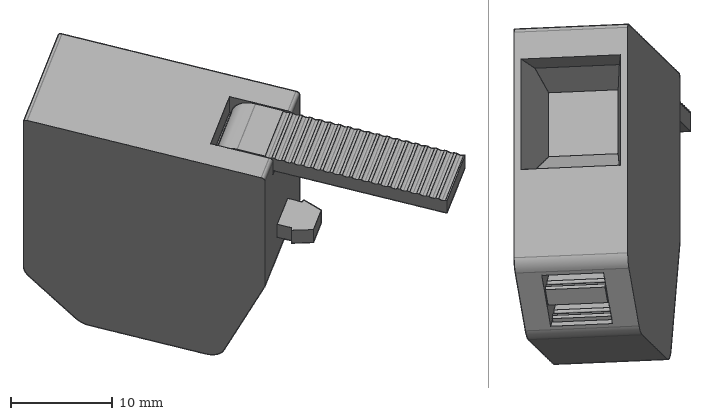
import cadquery as cq
import math

TOTAL_LENGTH = 43.0
BODY_LENGTH = 25.03
BODY_WIDTH = 11.5
BODY_HEIGHT = 30.0

CHAMFER_LEG = 6.0
SLOPE_HEIGHT = 13.0
SLOPE_ANGLE = 20.0
BOTTOM_RADIUS = 2.0
TOP_RADIUS = 0.4

WINDOW_TOP_GAP = 3.15
WINDOW_HEIGHT = 11.15
WINDOW_WIDTH = 10.0
WINDOW_DEPTH = 6.0
WINDOW_KNEE_DEPTH = WINDOW_DEPTH / 2
WINDOW_KNEE_TOP = 0.35
WINDOW_KNEE_BOTTOM = 0.5
FLOOR_TOP_INSET = 2.25
FLOOR_BOTTOM_INSET = 2.45
FLOOR_SIDE_INSET = 1.5

STRAP_WIDTH = 6.0
STRAP_THICKNESS = 1.98
BEND_RADIUS = 2.5
STRAP_BACK = 18.8
CLEARANCE = 0.108
EXPOSED_TEETH = 18
TOOTH_PITCH = (TOTAL_LENGTH - BODY_LENGTH) / EXPOSED_TEETH
GROOVE_RADIUS = TOOTH_PITCH / 2
SLOT_WIDTH = STRAP_WIDTH + 2 * CLEARANCE
SLOT_BACK = STRAP_BACK - 2 * CLEARANCE

MOUTH_LENGTH = 6.0
MOUTH_DEPTH = 5.0
STRAP_END_TOP = 1.45
PAWL_SETBACK = 0.75
PAWL_THICKNESS = 0.55
MOUTH_TEETH = 2

PEG_LENGTH = 3.6
PEG_TOP_GAP = 12.0
PEG_HEIGHT = 2.05
PEG_NECK_LENGTH = 1.45
PEG_NECK_WIDTH = 3.45
BARB_STEP = 0.3
BARB_BACK = 0.15
PEG_TIP_WIDTH = 2.6


def extrude_across(outline, width):
    """Close an outline drawn on the middle plane, facing -Y, and extrude it centred on Y."""
    return outline.close().extrude(width, clean=False).translate((0, width / 2, 0))


def cut_groove(strap, plane, along, surface):
    """Cut a round groove, with 45 degree edges, across the face at local height surface."""
    half_width = GROOVE_RADIUS * math.sin(math.pi / 4)
    half_arc = GROOVE_RADIUS * math.sin(math.pi / 8)
    arc_centre = surface + half_width
    bottom = arc_centre - GROOVE_RADIUS
    middle = arc_centre - GROOVE_RADIUS * math.cos(math.pi / 8)
    outline = (
        cq.Workplane(plane)
        .moveTo(along - half_width, arc_centre)
        .lineTo(along - half_width, surface)
        .threePointArc((along - half_arc, middle), (along, bottom))
        .threePointArc((along + half_arc, middle), (along + half_width, surface))
        .lineTo(along + half_width, arc_centre)
    )
    return strap.cut(extrude_across(outline, STRAP_WIDTH), clean=False)


def make_body():
    slope_run = SLOPE_HEIGHT * math.tan(math.radians(SLOPE_ANGLE))
    outline = cq.Workplane("XZ").polyline([
        (0, CHAMFER_LEG),
        (CHAMFER_LEG, 0),
        (BODY_LENGTH - slope_run, 0),
        (BODY_LENGTH, SLOPE_HEIGHT),
        (BODY_LENGTH, BODY_HEIGHT),
        (0, BODY_HEIGHT),
    ])
    body = extrude_across(outline, BODY_WIDTH)
    corner_box = cq.selectors.BoxSelector
    low_left = corner_box((-0.45, -BODY_WIDTH, -0.45), (CHAMFER_LEG + 0.45, BODY_WIDTH, CHAMFER_LEG + 0.45))
    low_right = corner_box((CHAMFER_LEG + 0.45, -BODY_WIDTH, -0.45), (BODY_LENGTH, BODY_WIDTH, 0.45))
    body = body.edges("|Y").edges(low_left + low_right).fillet(BOTTOM_RADIUS)
    return body.faces(">Z").edges("|Y").fillet(TOP_RADIUS)


def make_window():
    top = BODY_HEIGHT - WINDOW_TOP_GAP
    bottom = top - WINDOW_HEIGHT
    profile = cq.Workplane("XZ").polyline([
        (0, top),
        (WINDOW_KNEE_DEPTH, top - WINDOW_KNEE_TOP),
        (WINDOW_DEPTH, top - FLOOR_TOP_INSET),
        (WINDOW_DEPTH, bottom + FLOOR_BOTTOM_INSET),
        (WINDOW_KNEE_DEPTH, bottom + WINDOW_KNEE_BOTTOM),
        (0, bottom),
    ])
    mouth = WINDOW_WIDTH / 2
    floor = mouth - FLOOR_SIDE_INSET
    taper = (
        cq.Workplane("XY")
        .polyline([(0, -mouth), (WINDOW_DEPTH, -floor), (WINDOW_DEPTH, floor), (0, mouth)])
        .close()
        .extrude(BODY_HEIGHT)
    )
    return extrude_across(profile, WINDOW_WIDTH).intersect(taper)


def make_top_slot():
    outline = cq.Workplane("XZ").polyline([
        (SLOT_BACK, BODY_HEIGHT - BEND_RADIUS),
        (TOTAL_LENGTH, BODY_HEIGHT - BEND_RADIUS),
        (TOTAL_LENGTH, BODY_HEIGHT),
        (SLOT_BACK, BODY_HEIGHT),
    ])
    return extrude_across(outline, SLOT_WIDTH)


def make_strap():
    """Strap that rises from the slot floor, bends and runs out flush with the body top."""
    floor = BODY_HEIGHT - BEND_RADIUS
    bend_x = STRAP_BACK + BEND_RADIUS
    inner_radius = BEND_RADIUS - STRAP_THICKNESS
    diagonal = math.sin(math.pi / 4)
    outline = (
        cq.Workplane("XZ")
        .moveTo(STRAP_BACK, floor)
        .threePointArc(
            (bend_x - BEND_RADIUS * diagonal, floor + BEND_RADIUS * diagonal),
            (bend_x, BODY_HEIGHT),
        )
        .lineTo(TOTAL_LENGTH, BODY_HEIGHT)
        .lineTo(TOTAL_LENGTH, BODY_HEIGHT - STRAP_THICKNESS)
        .lineTo(bend_x, BODY_HEIGHT - STRAP_THICKNESS)
        .threePointArc(
            (bend_x - inner_radius * diagonal, floor + inner_radius * diagonal),
            (bend_x - inner_radius, floor),
        )
    )
    strap = extrude_across(outline, STRAP_WIDTH)
    for tooth in range(EXPOSED_TEETH + 1):
        along = BODY_LENGTH + (tooth - 0.5) * TOOTH_PITCH
        strap = cut_groove(strap, "XZ", along, BODY_HEIGHT)
    return strap


MOUTH_PLANE = cq.Plane(
    origin=(CHAMFER_LEG / 2, 0, CHAMFER_LEG / 2), xDir=(1, 0, 1), normal=(0, -1, 0)
)


def mouth_block(bottom, top, front, width):
    """Block between two local heights, reaching from front to the mouth floor."""
    outline = cq.Workplane(MOUTH_PLANE).polyline([
        (front, bottom),
        (MOUTH_DEPTH, bottom),
        (MOUTH_DEPTH, top),
        (front, top),
    ])
    return extrude_across(outline, width)


def make_mouth():
    """Mouth pocket, less the toothed strap end and the pawl that stand inside it."""
    half_length = MOUTH_LENGTH / 2
    pawl_top = PAWL_THICKNESS - half_length
    pocket = mouth_block(-half_length, half_length, 0, SLOT_WIDTH)
    strap_end = mouth_block(STRAP_END_TOP - STRAP_THICKNESS, STRAP_END_TOP, 0, STRAP_WIDTH)
    pawl = mouth_block(-half_length, pawl_top, PAWL_SETBACK, STRAP_WIDTH)
    for tooth in range(MOUTH_TEETH):
        along = tooth * TOOTH_PITCH
        strap_end = cut_groove(strap_end, MOUTH_PLANE, along, STRAP_END_TOP)
        pawl = cut_groove(pawl, MOUTH_PLANE, PAWL_SETBACK + along, pawl_top)
    return pocket.cut(strap_end, clean=False).cut(pawl, clean=False)


def make_peg():
    """Neck with a wider barb that tapers towards the tip."""
    barb_x = BODY_LENGTH + PEG_NECK_LENGTH
    tip_x = BODY_LENGTH + PEG_LENGTH
    neck = PEG_NECK_WIDTH / 2
    barb = neck + BARB_STEP
    tip = PEG_TIP_WIDTH / 2
    upper_side = [(BODY_LENGTH, neck), (barb_x, neck), (barb_x + BARB_BACK, barb), (tip_x, tip)]
    lower_side = [(x, -y) for x, y in reversed(upper_side)]
    return (
        cq.Workplane("XY", origin=(0, 0, BODY_HEIGHT - PEG_TOP_GAP - PEG_HEIGHT))
        .polyline(upper_side + lower_side)
        .close()
        .extrude(PEG_HEIGHT)
    )


result = make_body().cut(make_window()).cut(make_top_slot())
result = result.cut(make_mouth(), clean=False)
result = result.union(make_peg(), clean=False).union(make_strap(), clean=False)